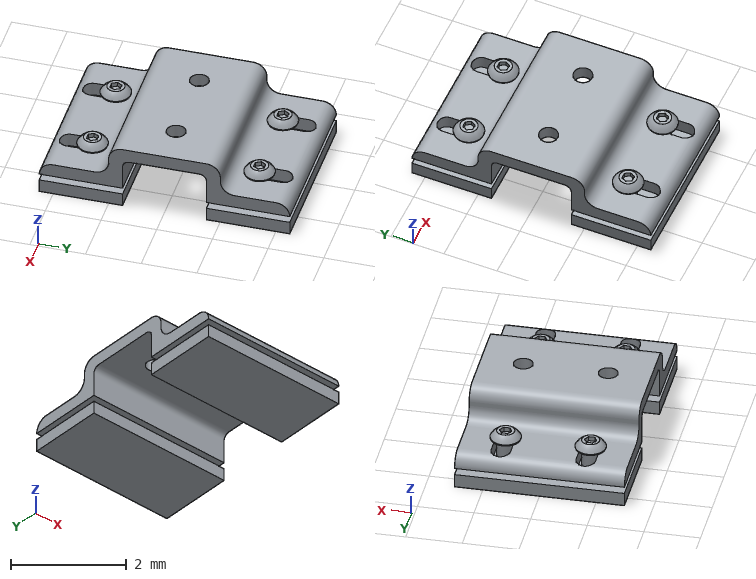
import cadquery as cq
import math

length = 3.0
overall_width = 4.5
overall_height = 1.22
thickness = 0.25
clamp_gap = 0.125
channel_width = 1.505
channel_fillet = thickness / 2

screw_x = length / 4
screw_y = overall_width / 3
hole_diameter = 0.34
slot_travel = 0.42

shank_diameter = 0.315
head_diameter = 0.55
head_top_diameter = 0.315
head_height = 0.158
head_rim_height = 0.03
head_seat_diameter = 0.52
head_bulge = 0.015
socket_across_flats = 0.185
socket_depth = 0.08

half_width = overall_width / 2
channel_half = channel_width / 2
wall_outer = channel_half + thickness
flange_bottom = thickness + clamp_gap
flange_top = flange_bottom + thickness
channel_top = overall_height - thickness
sides = (-1, 1)


def quarter_arc_middle(center_y, center_z, toward_y, toward_z):
    """Middle point of a quarter circle of radius `thickness`, on the diagonal from its centre."""
    offset = thickness * math.sqrt(0.5)
    return (center_y + toward_y * offset, center_z + toward_z * offset)


def bracket_half_profile():
    """Hat section in the YZ plane, on the +Y side of the mid plane."""
    edge_center = half_width - thickness
    concave_center = (wall_outer + thickness, flange_top + thickness)
    crown_center = (channel_half, channel_top)
    return (
        cq.Workplane("YZ", origin=(-length / 2, 0, 0))
        .moveTo(0, channel_top)
        .lineTo(channel_half, channel_top)
        .lineTo(channel_half, flange_bottom)
        .lineTo(half_width, flange_bottom)
        .threePointArc(
            quarter_arc_middle(edge_center, flange_bottom, 1, 1),
            (edge_center, flange_top),
        )
        .lineTo(concave_center[0], flange_top)
        .threePointArc(
            quarter_arc_middle(*concave_center, -1, -1),
            (wall_outer, concave_center[1]),
        )
        .lineTo(wall_outer, channel_top)
        .threePointArc(
            quarter_arc_middle(*crown_center, 1, 1),
            (channel_half, overall_height),
        )
        .lineTo(0, overall_height)
        .close()
    )


def make_bracket():
    """Hat-shaped bracket with two bridge holes and a slot for each screw."""
    half = bracket_half_profile().extrude(length)
    channel_corner = cq.selectors.BoxSelector(
        (-length, channel_half - channel_fillet, channel_top - channel_fillet),
        (length, channel_half + channel_fillet, channel_top + channel_fillet),
    )
    half = half.edges("|X").edges(channel_corner).fillet(channel_fillet)
    bracket = half.union(half.mirror("XZ"))

    bridge_holes = (
        cq.Workplane("XY")
        .pushPoints([(side * screw_x, 0) for side in sides])
        .circle(hole_diameter / 2)
        .extrude(overall_height)
    )
    slot_y = screw_y + slot_travel / 2
    slots = (
        cq.Workplane("XY")
        .pushPoints([(sx * screw_x, sy * slot_y) for sx in sides for sy in sides])
        .slot2D(slot_travel + hole_diameter, hole_diameter, 90)
        .extrude(overall_height)
    )
    return bracket.cut(bridge_holes).cut(slots)


def make_clamp_plate(side):
    """Flat plate lying under one flange."""
    plate_width = half_width - channel_half
    return (
        cq.Workplane("XY")
        .center(0, side * (channel_half + plate_width / 2))
        .rect(length, plate_width)
        .extrude(thickness)
    )


def make_screw(x, y):
    """Button-head screw seated on the flange, its shank reaching down to the plate."""
    head_top = flange_top + head_height
    rim_top = flange_top + head_rim_height
    top_radius = head_top_diameter / 2
    rim_radius = head_diameter / 2
    dome_middle = (
        (top_radius + rim_radius) / 2 + head_bulge * math.sqrt(0.5),
        (head_top + rim_top) / 2 + head_bulge * math.sqrt(0.5),
    )
    body = (
        cq.Workplane("XZ")
        .moveTo(0, thickness)
        .lineTo(shank_diameter / 2, thickness)
        .lineTo(shank_diameter / 2, flange_top)
        .lineTo(head_seat_diameter / 2, flange_top)
        .lineTo(rim_radius, rim_top)
        .threePointArc(dome_middle, (top_radius, head_top))
        .lineTo(0, head_top)
        .close()
        .revolve(360, (0, 0, 0), (0, 1, 0))
    )
    socket_across_corners = socket_across_flats / math.cos(math.pi / 6)
    socket = (
        cq.Workplane("XY", origin=(0, 0, head_top - socket_depth))
        .polygon(6, socket_across_corners)
        .extrude(socket_depth)
    )
    return body.cut(socket).translate((x, y, 0))


bracket = make_bracket()
clamp_plates = [make_clamp_plate(side) for side in sides]
screws = [make_screw(sx * screw_x, sy * screw_y) for sx in sides for sy in sides]

result = cq.Compound.makeCompound(
    [bracket.val()]
    + [plate.val() for plate in clamp_plates]
    + [screw.val() for screw in screws]
)